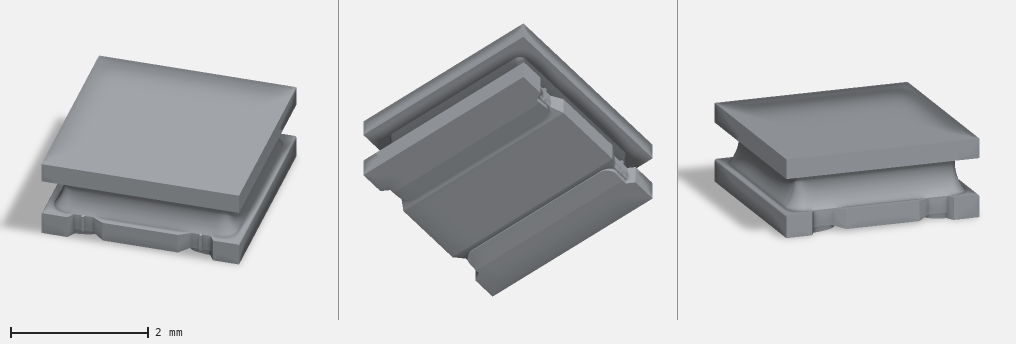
import cadquery as cq

width = 3.0
height = 1.2
half_width = width / 2
full_turn = 360
quarter_turn = 90

plate_thickness = 0.3
top_plate_bottom = height - plate_thickness
base_bottom = 0.04
base_top = 0.345
base_half_width_bottom = 1.437
base_half_width_top = 1.48

notch_outer_mouth = 1.105
notch_outer_floor = 1.04
notch_inner_floor = 0.747
notch_inner_mouth = 0.57
notch_depth = 0.105
notch_floor_y = half_width - notch_depth
groove_top = 0.09

winding_half_width_top = 1.257
winding_half_width_middle = 1.295
winding_half_width_bottom = notch_floor_y
winding_middle = 0.51
winding_corner_axis = 1.15

terminal_round_start = 0.318
terminal_round_radius = 0.03
terminal_flat_end = 0.96
terminal_inner_end = 0.655
terminal_setback = 0.02
terminal_end_y = notch_floor_y - terminal_setback
terminal_corner_radius = 0.17

wire_x = 0.895
wire_width = 0.035
wire_protrusion = 0.035
wire_end_rise = 0.015
wire_top = base_top + wire_end_rise
wire_bottom = groove_top - wire_end_rise
wire_front_y = -notch_floor_y - wire_protrusion


def line_position(start, end, value):
    """Value on the straight line from start to end, each an (input, output) pair."""
    return start[1] + (value - start[0]) * (end[1] - start[1]) / (end[0] - start[0])


def extrude_along_y(section):
    """Closed XZ section made into a bar over the full depth, centred on Y = 0."""
    return section.extrude(half_width, both=True)


def mirrored_in_x(left):
    return left.mirror("YZ")


def make_top_plate():
    return (
        cq.Workplane("XY")
        .workplane(offset=top_plate_bottom)
        .rect(width, width)
        .extrude(plate_thickness)
    )


def winding_profile(axis_x):
    """XZ section out to the concave side, with X measured from an axis at axis_x."""
    return (
        cq.Workplane("XZ")
        .moveTo(0, base_top)
        .lineTo(winding_half_width_bottom - axis_x, base_top)
        .threePointArc(
            (winding_half_width_middle - axis_x, winding_middle),
            (winding_half_width_top - axis_x, top_plate_bottom),
        )
        .lineTo(0, top_plate_bottom)
        .close()
    )


def make_winding():
    """Four straight concave sides joined by revolved corners."""
    winding_height = top_plate_bottom - base_top
    core_side = 2 * winding_corner_axis
    winding = (
        cq.Workplane("XY")
        .workplane(offset=base_top)
        .rect(core_side, core_side)
        .extrude(winding_height)
    )
    side = winding_profile(0).extrude(winding_corner_axis, both=True)
    corner = winding_profile(winding_corner_axis).revolve(full_turn, (0, 0, 0), (0, 1, 0))
    corner = corner.translate((winding_corner_axis, winding_corner_axis, 0))
    for angle in range(0, full_turn, quarter_turn):
        for portion in (side, corner):
            winding = winding.union(portion.rotate((0, 0, 0), (0, 0, 1), angle))
    return winding.clean()


def make_left_notches():
    """Tapered notches in the front and rear edges, left of centre."""
    front = (
        cq.Workplane("XY")
        .polyline(
            [
                (-notch_outer_mouth, -half_width),
                (-notch_outer_floor, -notch_floor_y),
                (-notch_inner_floor, -notch_floor_y),
                (-notch_inner_mouth, -half_width),
            ]
        )
        .close()
        .extrude(base_top)
    )
    return front.union(front.mirror("XZ"))


def make_left_groove():
    """Groove along the underside between the left notches."""
    section = cq.Workplane("XZ").polyline(
        [
            (-notch_outer_mouth, base_bottom),
            (-notch_outer_floor, groove_top),
            (-notch_inner_floor, groove_top),
            (-notch_inner_mouth, base_bottom),
        ]
    )
    return extrude_along_y(section.close())


def make_base():
    section = cq.Workplane("XZ").polyline(
        [
            (-base_half_width_bottom, base_bottom),
            (-base_half_width_top, base_top),
            (base_half_width_top, base_top),
            (base_half_width_bottom, base_bottom),
        ]
    )
    base = extrude_along_y(section.close())
    for cutter in (make_left_notches(), make_left_groove()):
        base = base.cut(cutter).cut(mirrored_in_x(cutter))
    return base


def make_left_terminal():
    """Side plate and underside pad that also fills the groove."""
    groove_z = line_position(
        (notch_inner_floor, groove_top), (notch_inner_mouth, base_bottom), terminal_inner_end
    )
    section = (
        cq.Workplane("XZ")
        .moveTo(-half_width, 0)
        .lineTo(-half_width, terminal_round_start)
        .radiusArc((-base_half_width_top, base_top), terminal_round_radius)
        .lineTo(-base_half_width_bottom, base_bottom)
        .lineTo(-notch_outer_mouth, base_bottom)
        .lineTo(-notch_outer_floor, groove_top)
        .lineTo(-notch_inner_floor, groove_top)
        .lineTo(-terminal_inner_end, groove_z)
        .lineTo(-terminal_inner_end, base_bottom)
        .lineTo(-terminal_flat_end, 0)
        .close()
    )
    end_x = line_position(
        (half_width, notch_outer_mouth), (notch_floor_y, notch_outer_floor), terminal_end_y
    )
    plan = (
        cq.Workplane("XY")
        .polyline(
            [
                (-half_width, -half_width),
                (-notch_outer_mouth, -half_width),
                (-end_x, -terminal_end_y),
                (-terminal_inner_end, -terminal_end_y),
                (-terminal_inner_end, terminal_end_y),
                (-end_x, terminal_end_y),
                (-notch_outer_mouth, half_width),
                (-half_width, half_width),
            ]
        )
        .close()
        .extrude(base_top)
        .faces(">X")
        .edges("|Z")
        .fillet(terminal_corner_radius)
    )
    return extrude_along_y(section).intersect(plan)


def make_left_wire():
    """Upright lead in the front notch, with sloped ends and a foot that reaches the terminal."""
    section = cq.Workplane("YZ").polyline(
        [
            (wire_front_y, base_top),
            (-notch_floor_y, wire_top),
            (-notch_floor_y, groove_top),
            (-terminal_end_y, groove_top),
            (-terminal_end_y, wire_bottom),
            (-notch_floor_y, wire_bottom),
            (wire_front_y, groove_top),
        ]
    )
    return section.close().extrude(wire_width / 2, both=True).translate((-wire_x, 0, 0))


top_plate = make_top_plate()
winding = make_winding()
base = make_base()

paired_bodies = []
for left in (make_left_terminal(), make_left_wire()):
    paired_bodies += [left.val(), mirrored_in_x(left).val()]

result = cq.Compound.makeCompound([top_plate.val(), winding.val(), base.val(), *paired_bodies])